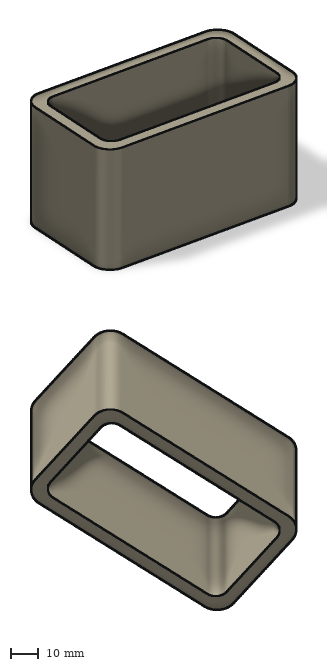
import cadquery as cq

width = 50.0
length = 90.0
height = 50.0

wall = 5.0
outer_radius = 7.5
inner_radius = 5.0


def rounded_block(size_x, size_y, corner_radius):
    """Full-height block with rounded vertical edges, standing on Z = 0."""
    block = cq.Workplane("XY").rect(size_x, size_y).extrude(height)
    return block.edges("|Z").fillet(corner_radius)


outer = rounded_block(width, length, outer_radius)
opening = rounded_block(width - 2 * wall, length - 2 * wall, inner_radius)

result = outer.cut(opening)